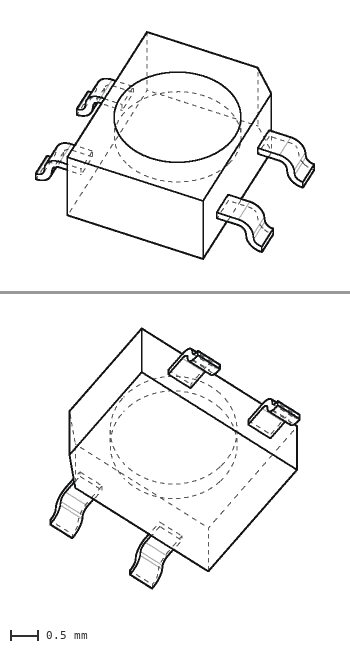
import cadquery as cq
import math

overall_length = 4.5
housing_length = 2.7
housing_width = 3.5
housing_height = 1.5
corner_chamfer = 0.5

lens_diameter = 2.3
lens_depth = 0.5
lens_offset_x = 0.05

lead_width = 0.5
lead_thickness = 0.15
lead_pitch = 1.8
lead_top = 0.65
foot_flat = 0.02
bend_inner_radius = 0.15
bend_outer_radius = bend_inner_radius + lead_thickness
bend_angle = math.radians(83.0)


def arc_point(center, radius, angle):
    """Point on a circle in the XZ plane, angle measured from +X."""
    return (center[0] + radius * math.cos(angle), center[1] + radius * math.sin(angle))


def make_lead():
    """Lead on the -X side, centred on Y = 0, from foot tip to housing wall."""
    tip_x = -overall_length / 2
    wall_x = -housing_length / 2

    foot_center = (tip_x + foot_flat, bend_outer_radius)
    shoulder_z = lead_top - bend_outer_radius
    radius_sum = bend_inner_radius + bend_outer_radius
    rise = shoulder_z - foot_center[1]
    leg_length = (rise + radius_sum * math.cos(bend_angle)) / math.sin(bend_angle)
    run = radius_sum * math.sin(bend_angle) + leg_length * math.cos(bend_angle)
    shoulder_center = (foot_center[0] + run, shoulder_z)

    foot_start = -math.pi / 2
    foot_mid = foot_start + bend_angle / 2
    foot_end = foot_start + bend_angle
    shoulder_start = foot_end + math.pi
    shoulder_mid = foot_mid + math.pi
    shoulder_end = math.pi / 2

    profile = (
        cq.Workplane("XZ")
        .moveTo(tip_x, 0)
        .lineTo(foot_center[0], 0)
        .threePointArc(
            arc_point(foot_center, bend_outer_radius, foot_mid),
            arc_point(foot_center, bend_outer_radius, foot_end),
        )
        .lineTo(*arc_point(shoulder_center, bend_inner_radius, shoulder_start))
        .threePointArc(
            arc_point(shoulder_center, bend_inner_radius, shoulder_mid),
            arc_point(shoulder_center, bend_inner_radius, shoulder_end),
        )
        .lineTo(wall_x, lead_top - lead_thickness)
        .lineTo(wall_x, lead_top)
        .lineTo(shoulder_center[0], lead_top)
        .threePointArc(
            arc_point(shoulder_center, bend_outer_radius, shoulder_mid),
            arc_point(shoulder_center, bend_outer_radius, shoulder_start),
        )
        .lineTo(*arc_point(foot_center, bend_inner_radius, foot_end))
        .threePointArc(
            arc_point(foot_center, bend_inner_radius, foot_mid),
            arc_point(foot_center, bend_inner_radius, foot_start),
        )
        .lineTo(tip_x, lead_thickness)
        .close()
    )
    return profile.extrude(lead_width / 2, both=True)


def make_lens():
    return (
        cq.Workplane("XY", origin=(lens_offset_x, 0, housing_height - lens_depth))
        .circle(lens_diameter / 2)
        .extrude(lens_depth)
    )


def make_housing():
    """Block with one chamfered corner, a lens recess and four leads."""
    body = (
        cq.Workplane("XY")
        .box(housing_length, housing_width, housing_height, centered=(True, True, False))
        .edges("|Z and >X and >Y")
        .chamfer(corner_chamfer)
        .cut(make_lens())
    )
    left_lead = make_lead()
    right_lead = left_lead.mirror("YZ")
    for lead in (left_lead, right_lead):
        for side in (-1, 1):
            body = body.union(lead.translate((0, side * lead_pitch / 2, 0)))
    return body.solids()


housing = make_housing()
lens = make_lens()

result = cq.Compound.makeCompound([housing.val(), lens.val()])